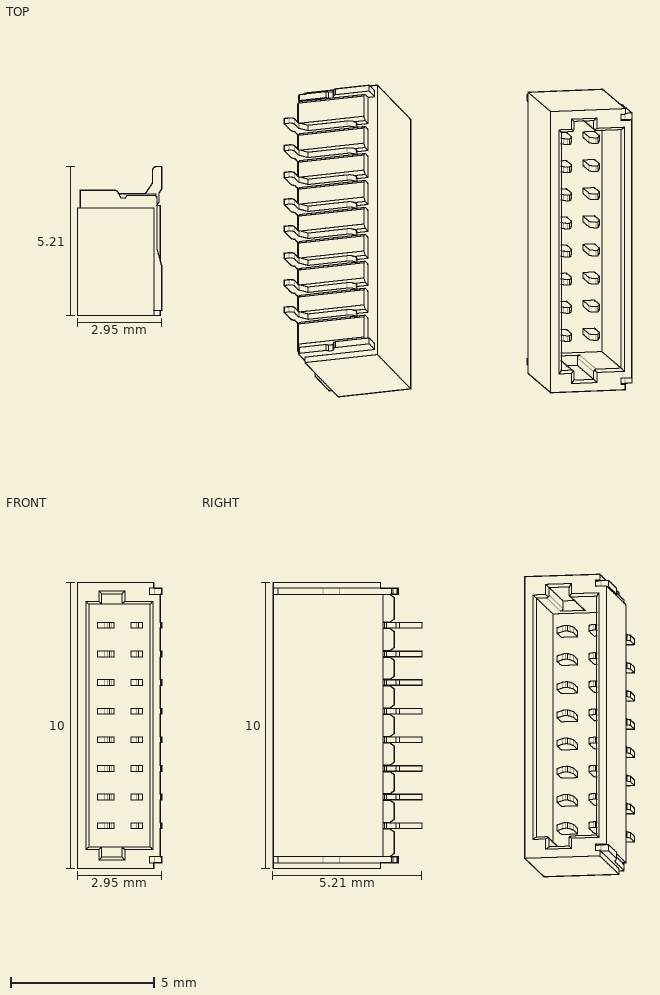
import cadquery as cq
import math


width = 2.95
depth = 5.21
height = 10.0

housing_depth = 3.76
end_width = 2.67
side_width = 2.9
side_inner_x = 2.64
side_depth = 3.85

mouth_left = 0.3
mouth_right = 2.64
mouth_half = 4.34
mouth_chamfer = 0.1
socket_floor = 3.3
key_left = 0.75
key_right = 1.66
key_half = 4.7
key_depth = 2.8
key_round = 0.09

contact_count = 8
contact_pitch = 1.0
contact_thickness = 0.2

rib_left = 0.34
rib_right = 2.75
rib_top = 4.24
rib_chamfer_depth = 0.15
rib_chamfer_width = 0.11
rib_gap = 0.22

tab_thickness = 0.22
tab_outer_z = 4.8
tab_inner_z = tab_outer_z - tab_thickness
tab_embed_x = 2.52
tab_embed_y = 3.6
tab_nose_radius = 0.17

contact_heights = [
    (i - (contact_count - 1) / 2) * contact_pitch for i in range(contact_count)
]


def block(x0, x1, y0, y1, z0, z1):
    """Box between two opposite corners."""
    return cq.Workplane("XY").box(x1 - x0, y1 - y0, z1 - z0, centered=False).translate((x0, y0, z0))


def plate(outline, z_middle, thickness):
    """Flat XY outline given thickness about a middle height."""
    return outline.extrude(thickness / 2, both=True).translate((0, 0, z_middle))


def make_shell():
    """Housing block, with its thicker side between the tabs."""
    ends = block(0, end_width, 0, housing_depth, -height / 2, height / 2)
    side = block(side_inner_x, side_width, 0, side_depth, -tab_inner_z, tab_inner_z)
    return ends.union(side)


def make_flare(x0, x1, half_height):
    """Mouth chamfer for a rectangular opening, narrowing into the housing at 45 degrees."""
    flare = cq.Workplane("XZ").rect(x1 - x0, 2 * half_height).extrude(mouth_chamfer, taper=45)
    return flare.mirror("XZ").translate(((x0 + x1) / 2, 0, 0))


def make_socket():
    """Main cavity with a key slot at both ends, rounded key edges and a chamfered mouth."""
    bore_left = mouth_left + mouth_chamfer
    bore_right = mouth_right - mouth_chamfer
    bore_half = mouth_half - mouth_chamfer
    slot_left = key_left + mouth_chamfer
    slot_right = key_right - mouth_chamfer
    slot_half = key_half - mouth_chamfer
    bore = block(bore_left, bore_right, 0, socket_floor, -bore_half, bore_half)
    slots = block(slot_left, slot_right, 0, key_depth, -slot_half, slot_half)
    key_edges = cq.selectors.BoxSelector(
        (slot_left - key_round, 0, -bore_half - key_round),
        (slot_right + key_round, key_depth, bore_half + key_round),
    )
    socket = bore.union(slots).edges("|Y").edges(key_edges).fillet(key_round)
    socket = socket.union(make_flare(mouth_left, mouth_right, mouth_half))
    return socket.union(make_flare(key_left, key_right, key_half))


def make_tab_slot(side):
    """Open slot along the housing edge that takes one retention tab."""
    z_middle = side * (tab_outer_z - tab_thickness / 2)
    return block(
        tab_embed_x, width, 0, depth, z_middle - tab_thickness / 2, z_middle + tab_thickness / 2
    )


def make_rib(z0, z1):
    """Rear rib between two heights, chamfered along both long edges."""
    profile = [
        (housing_depth, z0),
        (rib_top - rib_chamfer_depth, z0),
        (rib_top, z0 + rib_chamfer_width),
        (rib_top, z1 - rib_chamfer_width),
        (rib_top - rib_chamfer_depth, z1),
        (housing_depth, z1),
    ]
    rib = cq.Workplane("YZ").polyline(profile).close().extrude(rib_right - rib_left)
    return rib.translate((rib_left, 0, 0))


def make_ribs():
    """Ribs filling the spaces between contacts and between the end contacts and tabs."""
    stops = [z - rib_gap / 2 for z in contact_heights] + [tab_inner_z]
    starts = [-tab_inner_z] + [z + rib_gap / 2 for z in contact_heights]
    ribs = cq.Workplane("XY")
    for z0, z1 in zip(starts, stops):
        ribs = ribs.union(make_rib(z0, z1))
    return ribs


def make_tab(side):
    """L-shaped retention tab: one leg along the rear, one down the side."""
    nose_y = 0.17
    notch_y = 4.11
    back_y = 4.2
    raised_y = 4.38
    shank_x = 2.78
    diagonal = tab_nose_radius * math.sqrt(0.5)
    nose_mid = (
        tab_embed_x + tab_nose_radius - diagonal,
        nose_y + tab_nose_radius - diagonal,
    )
    outline = (
        cq.Workplane("XY")
        .moveTo(0.1, tab_embed_y)
        .lineTo(0.1, raised_y)
        .lineTo(1.34, raised_y)
        .lineTo(1.41, 4.34)
        .lineTo(1.52, notch_y)
        .lineTo(1.68, notch_y)
        .lineTo(1.74, back_y)
        .lineTo(2.72, back_y)
        .lineTo(shank_x, 4.14)
        .lineTo(shank_x, 2.33)
        .lineTo(width, 1.75)
        .lineTo(width, nose_y)
        .lineTo(tab_embed_x + tab_nose_radius, nose_y)
        .threePointArc(nose_mid, (tab_embed_x, nose_y + tab_nose_radius))
        .lineTo(tab_embed_x, tab_embed_y)
        .close()
    )
    return plate(outline, side * (tab_outer_z - tab_thickness / 2), tab_thickness)


def make_contact(z):
    """Flat forked contact: two prongs in the socket and one solder foot at the rear."""
    tip_y = 2.1
    shoulder_y = 2.5
    root_y = socket_floor + 0.1
    back_y = 4.27
    foot_left = 2.62
    foot_radius = 0.15
    heel_x = 2.86
    corner = foot_radius * (1 - math.sqrt(0.5))
    outline = (
        cq.Workplane("XY")
        .moveTo(0.78, root_y)
        .lineTo(0.78, housing_depth)
        .lineTo(0.7, 3.92)
        .lineTo(0.7, 4.02)
        .threePointArc((0.77, 4.2), (0.95, back_y))
        .lineTo(2.38, back_y)
        .lineTo(2.59, 4.58)
        .threePointArc((2.61, 4.61), (foot_left, 4.64))
        .lineTo(foot_left, depth - foot_radius)
        .threePointArc((foot_left + corner, depth - corner), (foot_left + foot_radius, depth))
        .lineTo(width, depth)
        .lineTo(width, 4.42)
        .lineTo(heel_x, 4.29)
        .lineTo(heel_x, 3.96)
        .lineTo(2.8, 3.9)
        .lineTo(2.8, root_y)
        .lineTo(2.28, root_y)
        .lineTo(2.28, shoulder_y)
        .lineTo(2.14, tip_y)
        .lineTo(2.07, tip_y)
        .threePointArc((1.94, 2.16), (1.87, 2.29))
        .lineTo(1.87, root_y)
        .lineTo(1.28, root_y)
        .lineTo(1.28, shoulder_y)
        .lineTo(1.2, 2.21)
        .lineTo(1.13, tip_y)
        .lineTo(1.06, tip_y)
        .threePointArc((0.99, 2.13), (0.94, 2.2))
        .lineTo(0.7, shoulder_y)
        .lineTo(0.7, root_y)
        .close()
    )
    return plate(outline, z, contact_thickness)


result = make_shell().union(make_ribs()).cut(make_socket())
for end in (-1, 1):
    result = result.cut(make_tab_slot(end)).union(make_tab(end))
for contact_z in contact_heights:
    result = result.union(make_contact(contact_z))